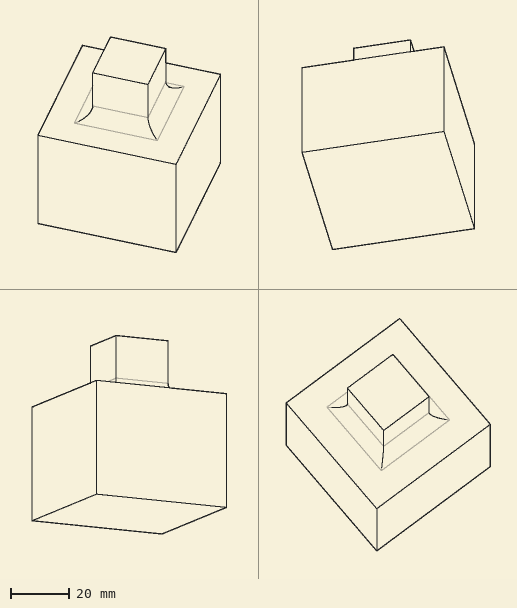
import cadquery as cq

total_height = 60.0
post_side = total_height / 3
base_side = 2.5 * post_side
base_height = total_height - post_side
fillet_radius = post_side / 4
foot_side = post_side + 2 * fillet_radius


def square_block(side, bottom, height):
    """Square block centred on the Z axis."""
    return cq.Workplane("XY").workplane(offset=bottom).rect(side, side).extrude(height)


def flared_prism(plane):
    """Concave flare profile swept straight across the foot, along the plane's normal."""
    half_post = post_side / 2
    half_foot = foot_side / 2
    flare_top = base_height + fillet_radius
    diagonal = fillet_radius / 2**0.5
    return (
        cq.Workplane(plane)
        .moveTo(-half_foot, base_height)
        .lineTo(half_foot, base_height)
        .threePointArc((half_foot - diagonal, flare_top - diagonal), (half_post, flare_top))
        .lineTo(-half_post, flare_top)
        .threePointArc((diagonal - half_foot, flare_top - diagonal), (-half_foot, base_height))
        .close()
        .extrude(half_foot, both=True)
    )


base = square_block(base_side, 0, base_height)
post = square_block(post_side, base_height, post_side)

flare = flared_prism("XZ").intersect(flared_prism("YZ"))

result = base.union(post).union(flare)